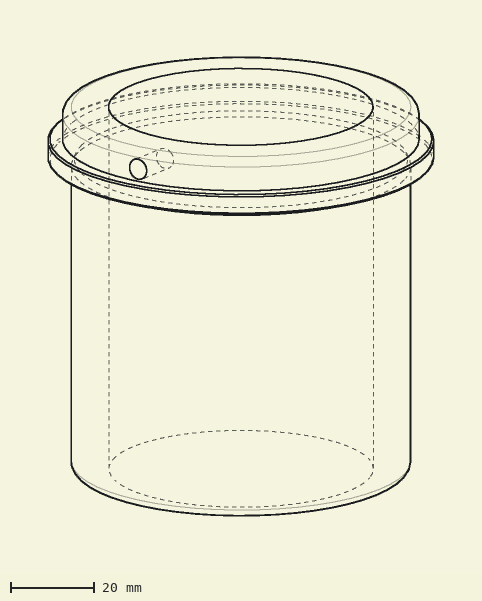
import cadquery as cq

total_height = 90.0
bore_diameter = 63.0

flange_diameter = 92.0
collar_diameter = 85.0
body_diameter = 80.9

collar_height = 8.0
flange_thickness = 5.0
flange_top = total_height - collar_height
flange_bottom = flange_top - flange_thickness

rim_radius = 2.0
flange_chamfer = 0.5
relief_height = 1.75
relief_depth = 0.7

pin_hole_diameter = 5.0
pin_hole_z = total_height - 5.0


def cylinder(diameter, bottom, top):
    return cq.Workplane("XY").workplane(offset=bottom).circle(diameter / 2).extrude(top - bottom)


def make_body():
    """Long sleeve with a rounded lower rim and a taper just below the flange."""
    body = cylinder(body_diameter, 0, flange_bottom - relief_height)
    body = body.faces("<Z").edges().fillet(rim_radius)
    taper = (
        cq.Workplane("XY")
        .workplane(offset=flange_bottom - relief_height)
        .circle(body_diameter / 2)
        .workplane(offset=relief_height)
        .circle(body_diameter / 2 - relief_depth)
        .loft(ruled=True)
    )
    return body.union(taper)


def make_flange():
    return cylinder(flange_diameter, flange_bottom, flange_top).edges().chamfer(flange_chamfer)


def make_collar():
    collar = cylinder(collar_diameter, flange_top, total_height)
    return collar.faces(">Z").edges().fillet(rim_radius)


def make_pin_hole():
    collar_radius = collar_diameter / 2
    return (
        cq.Workplane("XZ", origin=(0, -collar_radius, pin_hole_z))
        .circle(pin_hole_diameter / 2)
        .extrude(-collar_radius)
    )


result = make_body().union(make_flange()).union(make_collar())
result = result.cut(cylinder(bore_diameter, 0, total_height)).cut(make_pin_hole())